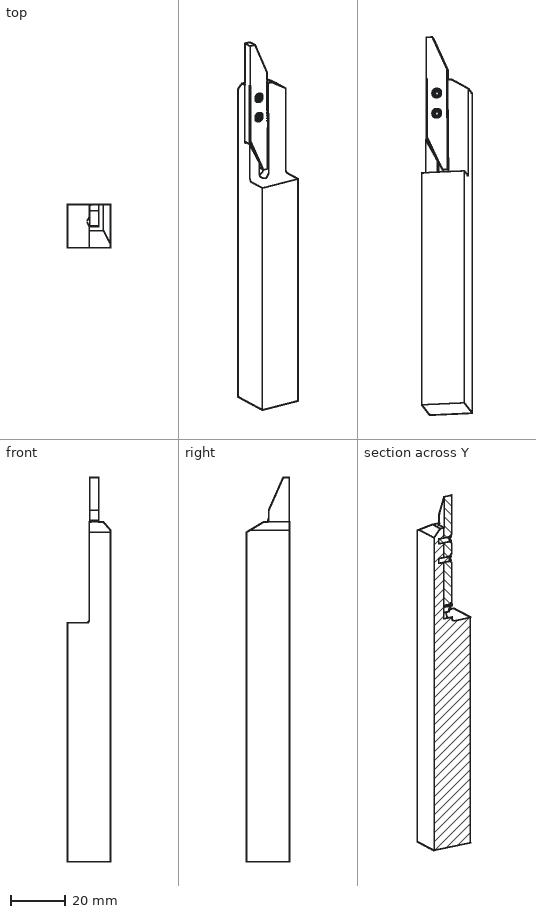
import cadquery as cq

shank_side = 16.0
ledge_z = 88.1
ledge_fillet = 1.0
head_face_x = 8.1
head_top_z = 125.2
nose_depth = 6.4
nose_drop = 3.8
side_bevel_width = 2.7
side_bevel_drop = 3.1

blade_face_x = 8.2
blade_thickness = 3.4
blade_tip_z = 141.6
blade_tip_width = 2.4
blade_back_inset = 0.1
blade_shoulder_z = 129.4
blade_shoulder_width = 7.8
blade_front_lean = 0.35
blade_back_low_z = 103.8
blade_foot_z = 91.2
blade_foot_width = 2.0
rim_top_z = 125.7
rim_depth = 0.4
rim_front_width = 0.35
rim_back_width = 0.3
rim_drop = 1.1

relief_radius = 2.1
relief_side_height = 3.8

screw_heights = (112.6, 120.2)
screw_y = 11.9
countersink_radius = 1.77
countersink_depth = 0.8
screw_head_radius = 1.4
screw_body_radius = 0.8
screw_length = 5.7
socket_size = 1.7
socket_depth = 0.7

blade_inner_x = blade_face_x + blade_thickness
pocket_depth = blade_inner_x - head_face_x
blade_back_y = shank_side - blade_back_inset
face_back_y = blade_back_y - rim_back_width
blade_shoulder_y = shank_side - blade_shoulder_width
blade_foot_front_y = blade_shoulder_y - blade_front_lean
blade_foot_back_y = blade_foot_front_y + blade_foot_width
rim_front_y = blade_shoulder_y - rim_front_width
rim_foot_y = blade_foot_front_y - rim_front_width
relief_y = rim_foot_y + relief_radius
relief_z = ledge_z + relief_radius
relief_x = head_face_x - ledge_fillet
countersink_slope = (countersink_radius - screw_body_radius) / countersink_depth
screw_head_sink = (countersink_radius - screw_head_radius) / countersink_slope


def yz_plate(points, start_x, thickness):
    """Plate with an outline of (y, z) points, reaching from start_x toward +X."""
    plane = cq.Workplane("YZ", origin=(start_x, 0, 0))
    return plane.polyline(points).close().extrude(thickness)


def countersunk_shape(top_radius, top_sink, z):
    """Cone and cylinder along X, starting top_sink below the blade face."""
    top_x = blade_face_x + top_sink
    cone_end_x = blade_face_x + countersink_depth
    end_x = blade_face_x + screw_length
    return (
        cq.Workplane("XY", origin=(0, screw_y, z))
        .moveTo(top_x, 0)
        .lineTo(top_x, top_radius)
        .lineTo(cone_end_x, screw_body_radius)
        .lineTo(end_x, screw_body_radius)
        .lineTo(end_x, 0)
        .close()
        .revolve(360, (0, 0, 0), (1, 0, 0))
    )


def cut_screw_holes(body):
    for z in screw_heights:
        body = body.cut(countersunk_shape(countersink_radius, 0, z))
    return body


def make_screw(z):
    head_x = blade_face_x + screw_head_sink
    socket_plane = cq.Workplane("YZ", origin=(head_x, screw_y, z))
    socket = socket_plane.polygon(6, socket_size).extrude(socket_depth)
    return countersunk_shape(screw_head_radius, screw_head_sink, z).cut(socket)


def rim_outline(back_y):
    """Outline of the blade below the top of its rim, reaching back to back_y."""
    return [
        (back_y, rim_top_z),
        (rim_front_y, rim_top_z),
        (rim_foot_y, blade_foot_z),
        (blade_foot_back_y, blade_foot_z),
        (back_y, blade_back_low_z - rim_drop),
    ]


def make_blade():
    face_outline = [
        (blade_back_y, blade_tip_z),
        (shank_side - blade_tip_width, blade_tip_z),
        (blade_shoulder_y, blade_shoulder_z),
        (blade_foot_front_y, blade_foot_z),
        (blade_foot_back_y, blade_foot_z),
        (face_back_y, blade_back_low_z),
        (face_back_y, rim_top_z),
        (blade_back_y, rim_top_z),
    ]
    blade = yz_plate(face_outline, blade_face_x, blade_thickness)
    rim_thickness = blade_thickness - rim_depth
    rim = yz_plate(rim_outline(blade_back_y), blade_face_x + rim_depth, rim_thickness)
    return cut_screw_holes(blade.union(rim))


def make_bar():
    """Shank and head before the nose, the pocket and the screw holes are cut."""
    return (
        cq.Workplane("XZ", origin=(0, shank_side, 0))
        .lineTo(shank_side, 0)
        .lineTo(shank_side, head_top_z - side_bevel_drop)
        .lineTo(shank_side - side_bevel_width, head_top_z)
        .lineTo(head_face_x, head_top_z)
        .lineTo(head_face_x, ledge_z + ledge_fillet)
        .radiusArc((head_face_x - ledge_fillet, ledge_z), ledge_fillet)
        .lineTo(0, ledge_z)
        .close()
        .extrude(shank_side)
    )


def nose_cut():
    wedge = [(0, head_top_z - nose_drop), (nose_depth, head_top_z), (0, head_top_z)]
    return yz_plate(wedge, 0, shank_side)


def blade_pocket():
    """Recess that fits the blade rim, open at the top and the back."""
    return yz_plate(rim_outline(shank_side), head_face_x, pocket_depth)


def foot_relief():
    """Round-bottomed slot that runs through the ledge fillet down to the ledge."""
    left_y = relief_y - relief_radius
    right_y = relief_y + relief_radius
    side_top_z = relief_z + relief_side_height
    return (
        cq.Workplane("YZ", origin=(relief_x, 0, 0))
        .moveTo(left_y, side_top_z)
        .lineTo(left_y, relief_z)
        .threePointArc((relief_y, ledge_z), (right_y, relief_z))
        .lineTo(right_y, side_top_z)
        .close()
        .extrude(blade_inner_x - relief_x)
    )


def make_holder():
    holder = make_bar().cut(nose_cut())
    holder = holder.cut(blade_pocket())
    holder = holder.cut(foot_relief())
    return cut_screw_holes(holder)


holder = make_holder()
blade = make_blade()
screws = [make_screw(z).val() for z in screw_heights]

result = cq.Compound.makeCompound([holder.val(), blade.val(), *screws])